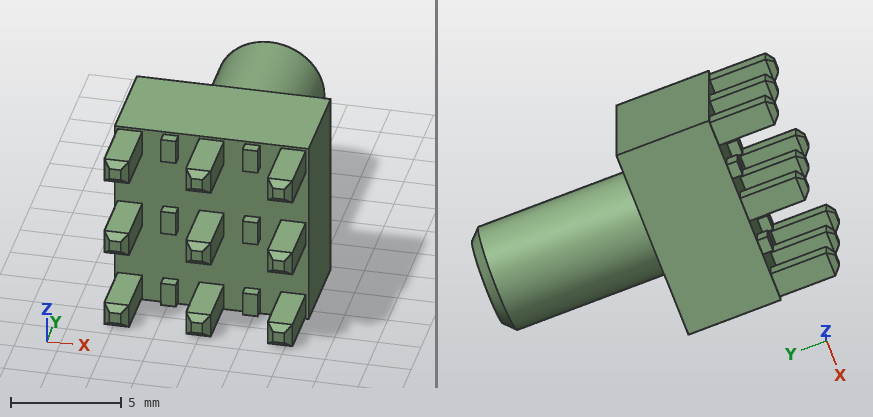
import cadquery as cq

body_side = 9.0
body_depth = 4.5

shaft_diameter = 5.0
shaft_chamfer = 0.5

pin_length = 3.0
pin_width = 1.15
pin_pitch = 3.8
tip_taper = 0.31

pad_width = 0.7
pad_height = pin_width
pad_length = 0.5

overall_length = 15.5
shaft_length = overall_length - body_depth - pin_length

grid_steps = (-pin_pitch, 0, pin_pitch)
pin_places = [(x, z) for x in grid_steps for z in grid_steps]
pad_places = [(x, z) for x in (-pin_pitch / 2, pin_pitch / 2) for z in grid_steps]


def make_body():
    """Block running from Y = 0 to Y = body_depth."""
    return cq.Workplane("XZ").rect(body_side, body_side).extrude(-body_depth)


def make_shaft():
    """Cylinder with a chamfered free end."""
    shaft = (
        cq.Workplane("XZ", origin=(0, body_depth, 0))
        .circle(shaft_diameter / 2)
        .extrude(-shaft_length)
    )
    return shaft.faces(">Y").chamfer(shaft_chamfer)


def make_front_blocks(places, width, height, length):
    """Rectangular blocks standing out of the front face toward -Y."""
    return cq.Workplane("XZ").pushPoints(places).rect(width, height).extrude(length)


pins = make_front_blocks(pin_places, pin_width, pin_width, pin_length)
pins = pins.faces("<Y").chamfer(tip_taper)
pads = make_front_blocks(pad_places, pad_width, pad_height, pad_length)

result = make_body().union(make_shaft()).union(pins).union(pads)